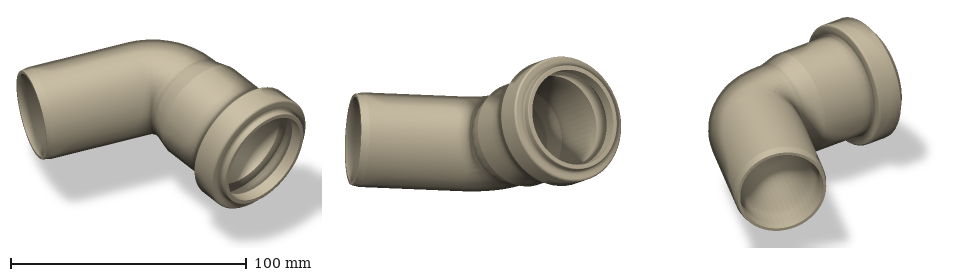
import cadquery as cq
import math

wall = 1.9
spigot_radius = 40.2 / 2
spigot_bore_radius = 36.2 / 2
spigot_length = 48.0
tip_chamfer_length = 3.4
tip_chamfer_depth = 0.8

bend_angle = 67.5
bend_radius = 18.0

socket_radius = 44.6 / 2
collar_radius = 54.1 / 2
groove_radius = 50.3 / 2
lip_radius = 45.0 / 2
lip_bore_radius = 41.1 / 2
edge_round = 1.0
lip_edge_round = 0.3

cone_start = 3.0
cone_end = 11.2
collar_start = 36.1
collar_end = 47.7
socket_end = 51.1

bend = math.radians(bend_angle)
outward = (-math.cos(bend), math.sin(bend), 0)
elbow_end = (
    bend_radius + bend_radius * outward[0],
    spigot_length + bend_radius * outward[1],
    0,
)
socket_plane = cq.Plane(origin=elbow_end, xDir=outward, normal=(0, 0, -1))


def revolved(plane, profile):
    """Turn a closed (radius, position) profile about the local Y axis."""
    return cq.Workplane(plane).polyline(profile).close().revolve(360, (0, 0), (0, 1))


def elbow(section_radius):
    """Sweep a round section about the bend axis, cut off where it would cross that axis."""
    start = cq.Plane(origin=(bend_radius, spigot_length, 0), xDir=(-1, 0, 0), normal=(0, 1, 0))
    half_chord = math.sqrt(section_radius**2 - bend_radius**2)
    half_section = (
        cq.Workplane(start)
        .moveTo(0, -half_chord)
        .threePointArc((bend_radius + section_radius, 0), (0, half_chord))
        .close()
    )
    return half_section.revolve(bend_angle, (0, 0), (0, -1))


def spigot_body():
    tip_radius = spigot_radius - tip_chamfer_depth
    return revolved("XY", [
        (0, 0),
        (tip_radius, 0),
        (spigot_radius, tip_chamfer_length),
        (spigot_radius, spigot_length),
        (0, spigot_length),
    ])


def circles_between(body, low, high):
    """Return the circular edges of the socket that lie between two axial positions."""
    margin = 0.1
    circles = body.edges("%CIRCLE").vals()
    return [
        edge for edge in circles
        if low - margin < socket_plane.toLocalCoords(edge.Center()).y < high + margin
    ]


def socket_body():
    body = revolved(socket_plane, [
        (0, 0),
        (spigot_radius, 0),
        (spigot_radius, cone_start),
        (socket_radius, cone_end),
        (socket_radius, collar_start),
        (collar_radius, collar_start),
        (collar_radius, collar_end),
        (lip_radius, collar_end),
        (lip_radius, socket_end),
        (0, socket_end),
    ])
    body = body.newObject(circles_between(body, collar_start, collar_end)).fillet(edge_round)
    return body.newObject(circles_between(body, socket_end, socket_end)).fillet(lip_edge_round)


def socket_bore():
    bore_radius = socket_radius - wall
    return revolved(socket_plane, [
        (0, 0),
        (spigot_bore_radius, 0),
        (spigot_bore_radius, cone_start),
        (bore_radius, cone_end),
        (bore_radius, collar_start + wall),
        (groove_radius, collar_start + wall),
        (groove_radius, collar_end - wall),
        (lip_bore_radius, collar_end - wall),
        (lip_bore_radius, socket_end),
        (0, socket_end),
    ])


spigot_bore = cq.Workplane("XZ").circle(spigot_bore_radius).extrude(-spigot_length)

body = spigot_body().union(elbow(spigot_radius)).union(socket_body())
result = body.cut(spigot_bore).cut(elbow(spigot_bore_radius)).cut(socket_bore())